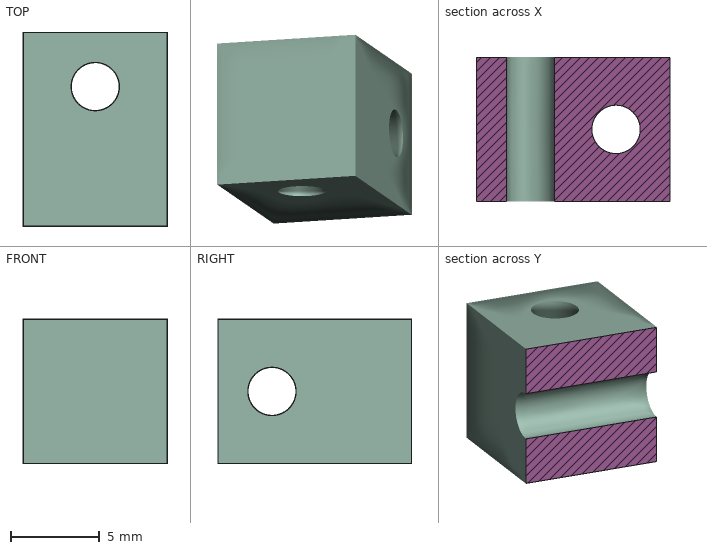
import cadquery as cq

block_width = 8.13
block_length = 10.92
hole_diameter = 2.70
hole_end_distance = 3.05

hole_offset = block_length / 2 - hole_end_distance


def make_block():
    """Square bar, centred on the origin, with its length along Y."""
    return cq.Workplane("XY").box(block_width, block_length, block_width)


def make_through_hole(plane_name, y_position):
    """Cylinder crossing the whole block, normal to a plane that contains Y."""
    return (
        cq.Workplane(plane_name, origin=(0, y_position, 0))
        .circle(hole_diameter / 2)
        .extrude(block_width, both=True)
    )


vertical_hole = make_through_hole("XY", hole_offset)
cross_hole = make_through_hole("YZ", -hole_offset)

result = make_block().cut(vertical_hole).cut(cross_hole)